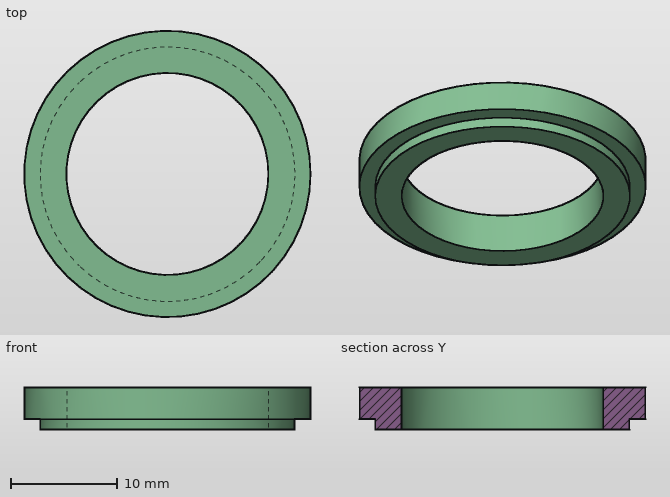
import cadquery as cq

flange_diameter = 27.0
spigot_diameter = 24.0
bore_diameter = 19.0
total_height = 4.0
spigot_height = 1.0
flange_height = total_height - spigot_height

spigot = cq.Workplane("XY").circle(spigot_diameter / 2).extrude(spigot_height)
flange = (
    cq.Workplane("XY")
    .workplane(offset=spigot_height)
    .circle(flange_diameter / 2)
    .extrude(flange_height)
)

bore = cq.Workplane("XY").circle(bore_diameter / 2).extrude(total_height)

result = spigot.union(flange).cut(bore)